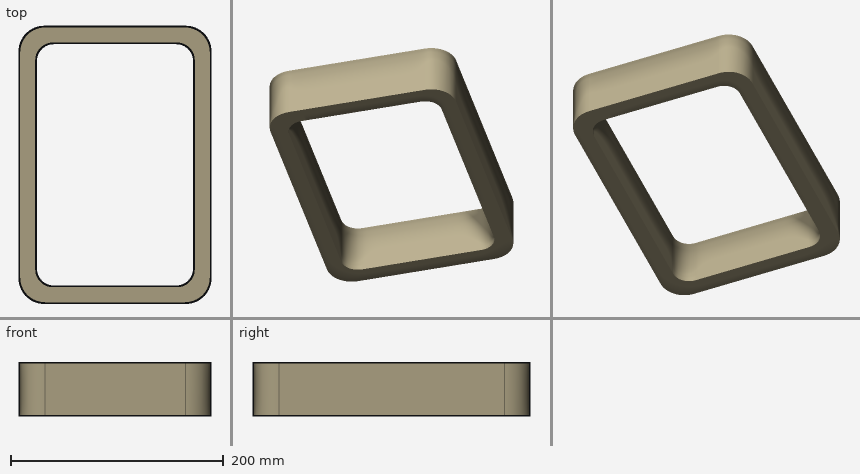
import cadquery as cq

LENGTH_X = 180.0
LENGTH_Y = 260.0
HEIGHT = 50.0
WALL = 16.0
OUTER_RADIUS = 24.0
INNER_RADIUS = 16.0


def rounded_block(length_x, length_y, corner_radius):
    """Upright block standing on Z = 0 with rounded vertical corners."""
    block = cq.Workplane("XY").rect(length_x, length_y).extrude(HEIGHT)
    return block.edges("|Z").fillet(corner_radius)


outer_block = rounded_block(LENGTH_X, LENGTH_Y, OUTER_RADIUS)
opening = rounded_block(LENGTH_X - 2 * WALL, LENGTH_Y - 2 * WALL, INNER_RADIUS)
result = outer_block.cut(opening)